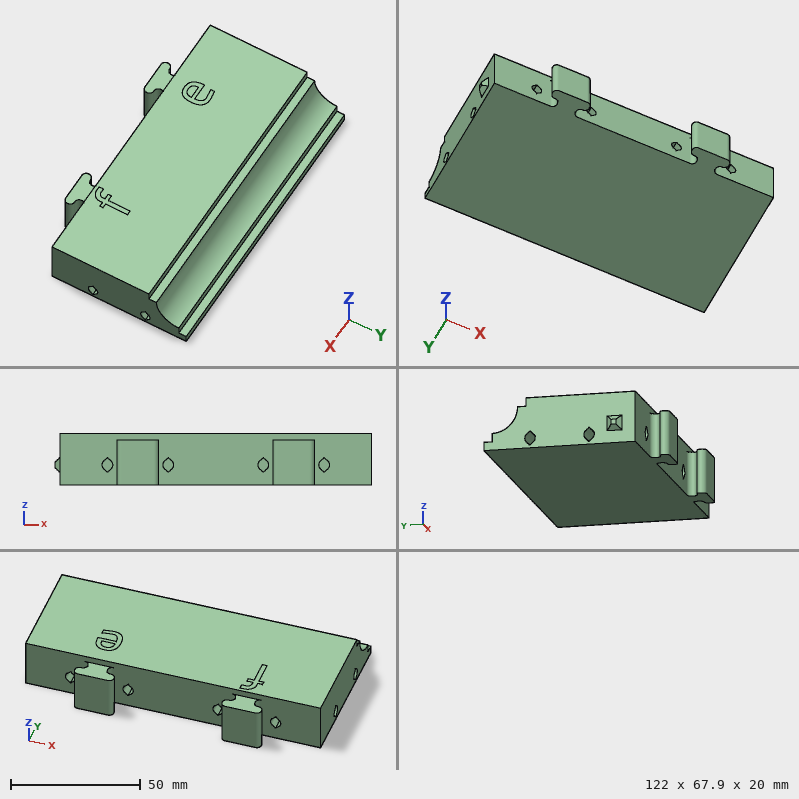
import math

import cadquery as cq


block_length = 120.0
block_depth = 60.0
block_height = 20.0

cove_radius = 10.0
cove_step = (block_height - cove_radius) / 3

connector_height = 17.4
connector_reach = 7.9
head_width = 16.0
head_thickness = connector_reach / 2
neck_width = 8.0
connector_round = 1.8
connector_positions = [block_length / 4, block_length * 3 / 4]

inlay_depth = 1.0
letter_baseline_y = 17.4
bar_thickness = 1.5

e_half_width = 4.8
e_height = 11.6
e_overshoot = 0.2
e_side_stroke = 2.1
e_end_stroke = 1.7
e_bar_bottom = 5.1
e_terminal_x = 4.1
e_terminal_rise = 0.5

f_stroke = 2.0
f_stem_left = -2.3
f_bar_left = -4.3
f_bar_right = 2.1
f_bar_bottom = 9.8
f_hook_radius = 3.7
f_hook_center_y = 12.3
f_hook_end = 3.3

bore_radius = 2.1
peak_height = 2.8
hole_offset = 11.7
front_hole_z = 7.8
front_hole_depth = 10.0
cross_hole_z = 3.9

overall_length = 122
peg_height = overall_length - block_length
peg_base = 5.9
peg_tip = 2.0
peg_y = 8.2
peg_z = 7.8


def pointed_bore(plane, depth):
    """Straight bore along the plane normal with a pointed top and bottom."""
    tangent_z = bore_radius**2 / peak_height
    tangent_x = math.sqrt(bore_radius**2 - tangent_z**2)
    return (
        cq.Workplane(plane)
        .moveTo(0, peak_height)
        .lineTo(tangent_x, tangent_z)
        .threePointArc((bore_radius, 0), (tangent_x, -tangent_z))
        .lineTo(0, -peak_height)
        .lineTo(-tangent_x, -tangent_z)
        .threePointArc((-bore_radius, 0), (-tangent_x, tangent_z))
        .close()
        .extrude(depth)
    )


def block_blank():
    """Block with a cove between two square steps along its back edge."""
    ledge_y = block_depth - cove_step
    ledge_z = 2 * cove_step
    cove_y = ledge_y - cove_radius
    cove_z = ledge_z + cove_radius
    sag = cove_radius / math.sqrt(2)
    return (
        cq.Workplane("YZ")
        .moveTo(0, 0)
        .lineTo(block_depth, 0)
        .lineTo(block_depth, cove_step)
        .lineTo(ledge_y, cove_step)
        .lineTo(ledge_y, ledge_z)
        .threePointArc((ledge_y - sag, cove_z - sag), (cove_y, cove_z))
        .lineTo(cove_y - cove_step, cove_z)
        .lineTo(cove_y - cove_step, block_height)
        .lineTo(0, block_height)
        .close()
        .extrude(block_length)
    )


def locating_peg():
    """Square frustum that stands on the left end face."""
    return (
        cq.Workplane(cq.Plane((0, peg_y, peg_z), xDir=(0, -1, 0), normal=(-1, 0, 0)))
        .rect(peg_base, peg_base)
        .workplane(offset=peg_height)
        .rect(peg_tip, peg_tip)
        .loft(ruled=True)
    )


def make_connector(x):
    """Integral T-shaped connector with rounded head edges and a neck that flares at both ends."""
    r = connector_round
    neck = neck_width / 2
    head = head_width / 2
    shoulder = head_thickness - connector_reach
    half = (
        cq.Workplane("XY")
        .moveTo(0, 0)
        .lineTo(neck + r, 0)
        .radiusArc((neck, -r), -r)
        .lineTo(neck, shoulder + r)
        .radiusArc((neck + r, shoulder), -r)
        .lineTo(head - r, shoulder)
        .radiusArc((head, shoulder - r), r)
        .lineTo(head, r - connector_reach)
        .radiusArc((head - r, -connector_reach), r)
        .lineTo(0, -connector_reach)
        .close()
        .extrude(connector_height)
    )
    return half.union(half.mirror("YZ")).clean().translate((x, 0, 0))


def make_block():
    """Block with its peg, holes and connectors in one piece."""
    block = block_blank().union(locating_peg())
    for side in (-1, 1):
        cross_y = block_depth / 2 + side * hole_offset
        cross_plane = cq.Plane((0, cross_y, cross_hole_z), xDir=(0, 1, 0), normal=(1, 0, 0))
        block = block.cut(pointed_bore(cross_plane, block_length))
        for x in connector_positions:
            hole_x = x + side * hole_offset
            front_plane = cq.Plane((hole_x, 0, front_hole_z), xDir=(-1, 0, 0), normal=(0, 1, 0))
            block = block.cut(pointed_bore(front_plane, front_hole_depth))
    for x in connector_positions:
        block = block.union(make_connector(x))
    return block


def letter_e():
    """Upright e, centred on X = 0 with its baseline on Y = 0."""
    bottom = -e_overshoot
    top = bottom + e_height
    middle = (bottom + top) / 2
    bar_top = e_bar_bottom + bar_thickness
    inner_half = e_half_width - e_side_stroke
    inner_bottom = bottom + e_end_stroke
    body = (
        cq.Workplane("XY")
        .moveTo(e_half_width, e_bar_bottom)
        .lineTo(-inner_half, e_bar_bottom)
        .spline([(0, inner_bottom)], tangents=[(0, -1), (1, 0)], includeCurrent=True)
        .lineTo(e_terminal_x, inner_bottom + e_terminal_rise)
        .lineTo(e_terminal_x, bottom + e_terminal_rise)
        .spline([(0, bottom)], tangents=[(-1, 0), (-1, 0)], includeCurrent=True)
        .spline([(-e_half_width, middle)], tangents=[(-1, 0), (0, 1)], includeCurrent=True)
        .spline([(0, top)], tangents=[(0, 1), (1, 0)], includeCurrent=True)
        .spline([(e_half_width, middle)], tangents=[(1, 0), (0, -1)], includeCurrent=True)
        .close()
        .extrude(inlay_depth)
    )
    counter = (
        cq.Workplane("XY")
        .moveTo(-inner_half, bar_top)
        .lineTo(inner_half, bar_top)
        .spline([(0, top - e_end_stroke)], tangents=[(0, 1), (-1, 0)], includeCurrent=True)
        .spline([(-inner_half, bar_top)], tangents=[(-1, 0), (0, -1)], includeCurrent=True)
        .close()
        .extrude(inlay_depth)
    )
    return body.cut(counter)


def letter_f():
    """Upright f with its baseline on Y = 0: stem, crossbar and quarter-ring hook."""
    stem_right = f_stem_left + f_stroke
    bar_top = f_bar_bottom + bar_thickness
    hook_x = f_stem_left + f_hook_radius
    inner_radius = f_hook_radius - f_stroke
    return (
        cq.Workplane("XY")
        .moveTo(f_stem_left, 0)
        .lineTo(stem_right, 0)
        .lineTo(stem_right, f_bar_bottom)
        .lineTo(f_bar_right, f_bar_bottom)
        .lineTo(f_bar_right, bar_top)
        .lineTo(stem_right, bar_top)
        .lineTo(stem_right, f_hook_center_y)
        .radiusArc((hook_x, f_hook_center_y + inner_radius), inner_radius)
        .lineTo(f_hook_end, f_hook_center_y + inner_radius)
        .lineTo(f_hook_end, f_hook_center_y + f_hook_radius)
        .lineTo(hook_x, f_hook_center_y + f_hook_radius)
        .radiusArc((f_stem_left, f_hook_center_y), -f_hook_radius)
        .lineTo(f_stem_left, bar_top)
        .lineTo(f_bar_left, bar_top)
        .lineTo(f_bar_left, f_bar_bottom)
        .lineTo(f_stem_left, f_bar_bottom)
        .close()
        .extrude(inlay_depth)
    )


def place_inlay(letter, x):
    """Turn an upright letter half way round and sink it flush into the top face."""
    turned = letter.rotate((0, 0, 0), (0, 0, 1), 180)
    return turned.translate((x, letter_baseline_y, block_height - inlay_depth))


e_inlay = place_inlay(letter_e(), connector_positions[0])
f_inlay = place_inlay(letter_f(), connector_positions[1])
block = make_block().cut(e_inlay).cut(f_inlay)

result = cq.Compound.makeCompound([block.val(), e_inlay.val(), f_inlay.val()])